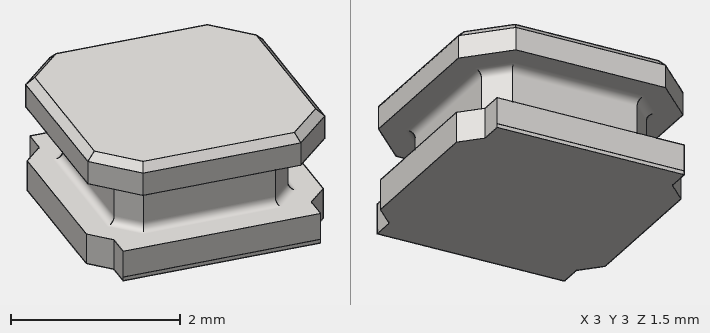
import cadquery as cq

overall_width = 3.0
overall_height = 1.5
flange_height = 0.4

terminal_length = 2.5
terminal_height = 0.05
terminal_overhang = 0.001

flange_corner_cut = 0.5
flange_bevel = 0.1

core_inset = 0.4
core_blend = 0.1

base_waist_width = 2.4

body_width = overall_width - 2 * terminal_overhang
body_half = body_width / 2
core_half = body_half - core_inset
core_bottom = flange_height
core_top = overall_height - flange_height
core_height = core_top - core_bottom


def make_octagon_plate(bottom, height):
    """Square plate with four equal 45 degree corner cuts."""
    return (
        cq.Workplane("XY", origin=(0, 0, bottom))
        .rect(body_width, body_width)
        .extrude(height)
        .edges("|Z")
        .chamfer(flange_corner_cut)
    )


def make_top_flange():
    plate = make_octagon_plate(core_top, flange_height)
    return plate.faces(">Z").chamfer(flange_bevel)


def make_core():
    """Column with the flange outline offset evenly inward."""
    full_plate = make_octagon_plate(core_bottom, core_height)
    outline = full_plate.faces("<Z").wires().toPending()
    return outline.offset2D(-core_inset).extrude(core_height, combine=False)


def make_base():
    """Plate whose corners each have a ledge along X, then a 45 degree slope out to the Y side."""
    ledge_y = terminal_length / 2
    ledge_end_x = base_waist_width / 2
    slope_end_x = ledge_end_x - (body_half - ledge_y)
    right_corner = [(body_half, ledge_y), (ledge_end_x, ledge_y), (slope_end_x, body_half)]
    left_corner = [(-x, y) for x, y in reversed(right_corner)]
    back_half = right_corner + left_corner
    front_half = [(-x, -y) for x, y in back_half]
    return cq.Workplane("XY").polyline(back_half + front_half).close().extrude(flange_height)


def make_terminals():
    """One pad at each X end, flush with the underside of the base."""
    pad_width = (overall_width - base_waist_width) / 2
    pad_center_x = (overall_width - pad_width) / 2
    return (
        cq.Workplane("XY")
        .pushPoints([(-pad_center_x, 0), (pad_center_x, 0)])
        .rect(pad_width, terminal_length)
        .extrude(terminal_height)
    )


def blend_core(body):
    """Round the inside corners where the core meets both flanges."""
    margin = 0.03
    reach = core_half + margin
    core_region = cq.selectors.BoxSelector(
        (-reach, -reach, core_bottom - margin),
        (reach, reach, core_top + margin),
    )
    return body.edges(core_region).edges("#Z").fillet(core_blend)


body = make_base().union(make_core()).union(make_top_flange())
body = blend_core(body)

result = body.union(make_terminals(), clean=False)